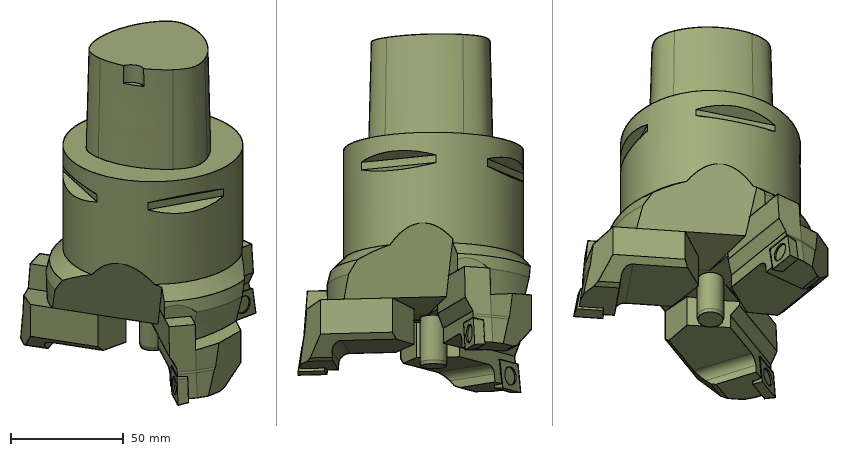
import cadquery as cq
import math

TOOTH_TURNS = [0, -116.2, -237]
OVERALL_HEIGHT = 148.0
REACH = 88.8

SHANK_HEIGHT = 48.0
SHANK_BASE_RADIUS = 27.7
SHANK_TAPER = 1 / 40
SHANK_LOBE = 2.2
SHANK_FLAT_ANGLES = [-90, 30, 150]
SHANK_FLAT_HALF_ANGLE = 26
SHANK_CURVE_STEPS = 8
KEY_RADIUS = 12.0 / 2
KEY_CENTRE_Y = -27.7
KEY_DEPTH = 8.6

BODY_RADIUS = 80.0 / 2
CYLINDER_BOTTOM = -50.0
COLLAR_TOP = -56.0
COLLAR_TOP_RADIUS = 46.0
COLLAR_MIDDLE = -62.0
COLLAR_MIDDLE_RADIUS = 47.5
COLLAR_BOTTOM_RADIUS = 46.9
BODY_BOTTOM = -75.9
SEAT_FACET_X = -46.5

GROOVE_FLAT = 35.5
GROOVE_Z = -12.0
GROOVE_FLOOR_WIDTH = 3.4
GROOVE_MOUTH_WIDTH = 8.7
GROOVE_ANGLES = [45, 135, 225, 315]

NOZZLE_RADIUS = 12.0 / 2
NOZZLE_BOTTOM = -97.8
NOZZLE_CHAMFER_HEIGHT = 1.6
NOZZLE_CHAMFER_WIDTH = 0.5

FACE_Y = 4.7
BLOCK_BACK_Y = -7.3
REAR_Y = -29.9
REAR_TOP = -72.7
FLUTE_TILT = 17.8
BLOCK_TOP = -63.8
CARTRIDGE_BOTTOM = -98.1
LOWER_FACE_Y = 1.3
FACE_STEP_TOP = -78.0
FACE_STEP_BOTTOM = -84.0
REAR_CHAMFER_TOP = -88.2
REAR_CHAMFER_Y = -21.2
REAR_CHAMFER_END_Y = -18.6
REAR_CHAMFER_BOTTOM = -97.1
OUTER_CORNER_X = -46.9
OUTER_BEVEL_ANGLE = 57
INNER_CORNER_X = -14.7
INNER_TIP = (-7.0, -15.1)
INNER_FACE_X = -19.2
SIDE_TOP_X = -55.6
SIDE_LEDGE_X = -57.3
SIDE_LEDGE_TOP = -85.4
LIP_LEDGE_X = -57.5
LIP_LEDGE_BOTTOM = -86.5
LIP_BOTTOM_X = -59.0
SIDE_RELIEF = 10
GULLY_TOP = -90.9
GULLY_RADIUS = 4.9
GULLY_TANGENT_X = -37.7
GULLY_BOTTOM_X = -42.8
GULLY_WALL_ANGLE = 15

INSERT_FACE_Y = 1.8
INSERT_THICKNESS = 5.0
INSERT_RELIEF = 7
INSERT_TOP = -87.3
INSERT_BOTTOM = SHANK_HEIGHT - OVERALL_HEIGHT
INSERT_TOP_X = (-59.0, -45.7)
INSERT_BOTTOM_X = (-61.0, -48.0)
INSERT_CORNER_RADIUS = 0.7
INSERT_RECESS_DIAMETER = 8.1
INSERT_RECESS_DEPTH = 0.7


def turned(shape, angle):
    return shape.rotate((0, 0, 0), (0, 0, 1), angle)


def prism_along_x(points):
    """Prism of a (y, z) outline reaching past the part on both sides."""
    return cq.Workplane("YZ").polyline(points).close().extrude(REACH, both=True)


def prism_along_y(points):
    """Prism of an (x, z) outline reaching past the part on both sides."""
    return cq.Workplane("XZ").polyline(points).close().extrude(REACH, both=True)


def lobed_point(mean_radius, angle):
    """Point of the constant-width outline where its normal has the given angle; one lobe is at +Y."""
    phase = 3 * (angle - math.pi / 2)
    support = mean_radius + SHANK_LOBE * math.cos(phase)
    slope = -3 * SHANK_LOBE * math.sin(phase)
    x = support * math.cos(angle) - slope * math.sin(angle)
    y = support * math.sin(angle) + slope * math.cos(angle)
    return cq.Vector(x, y)


def lobed_wire(mean_radius, z):
    """Closed outline of three flat stretches alternating with three lobes."""
    edges = []
    for flat_middle in SHANK_FLAT_ANGLES:
        joints = [
            flat_middle - SHANK_FLAT_HALF_ANGLE,
            flat_middle + SHANK_FLAT_HALF_ANGLE,
            flat_middle + 120 - SHANK_FLAT_HALF_ANGLE,
        ]
        for start, end in zip(joints, joints[1:]):
            step = (end - start) / SHANK_CURVE_STEPS
            angles = [math.radians(start + step * i) for i in range(SHANK_CURVE_STEPS + 1)]
            points = [lobed_point(mean_radius, angle) + cq.Vector(0, 0, z) for angle in angles]
            end_angles = (angles[0], angles[-1])
            tangents = [cq.Vector(-math.sin(angle), math.cos(angle)) for angle in end_angles]
            edges.append(cq.Edge.makeSpline(points, tangents=tangents))
    return cq.Wire.assembleEdges(edges)


def make_shank():
    top_radius = SHANK_BASE_RADIUS - SHANK_HEIGHT * SHANK_TAPER
    outlines = [lobed_wire(SHANK_BASE_RADIUS, 0), lobed_wire(top_radius, SHANK_HEIGHT)]
    shank = cq.Workplane(cq.Solid.makeLoft(outlines, True))
    key = (
        cq.Workplane("XY", origin=(0, KEY_CENTRE_Y, SHANK_HEIGHT))
        .circle(KEY_RADIUS)
        .extrude(-KEY_DEPTH)
    )
    return shank.cut(key)


def make_turned_stock():
    return (
        cq.Workplane("XZ")
        .moveTo(0, 0)
        .lineTo(BODY_RADIUS, 0)
        .lineTo(BODY_RADIUS, CYLINDER_BOTTOM)
        .lineTo(COLLAR_TOP_RADIUS, COLLAR_TOP)
        .lineTo(COLLAR_MIDDLE_RADIUS, COLLAR_MIDDLE)
        .lineTo(COLLAR_BOTTOM_RADIUS, BODY_BOTTOM)
        .lineTo(0, BODY_BOTTOM)
        .close()
        .revolve(360, (0, 0, 0), (0, 1, 0))
    )


def make_groove():
    """Gripper groove on the +X side, widening outward."""
    depth = BODY_RADIUS - GROOVE_FLAT
    floor = GROOVE_FLOOR_WIDTH / 2
    mouth = GROOVE_MOUTH_WIDTH - floor
    mouth_x = GROOVE_FLAT + 2 * depth
    return prism_along_y([
        (GROOVE_FLAT, GROOVE_Z - floor),
        (mouth_x, GROOVE_Z - mouth),
        (mouth_x, GROOVE_Z + mouth),
        (GROOVE_FLAT, GROOVE_Z + floor),
    ])


def make_flute(turn, next_turn):
    """Space behind one tooth, ending at the cutting face of the following one."""
    slope_y = REAR_Y + REAR_TOP * math.tan(math.radians(FLUTE_TILT))
    behind = prism_along_x([
        (slope_y, 0),
        (REAR_Y, REAR_TOP),
        (BLOCK_BACK_Y, BODY_BOTTOM),
        (BLOCK_BACK_Y, -2 * REACH),
        (-REACH, -2 * REACH),
        (-REACH, 0),
    ])
    ahead = cq.Workplane("XY").box(
        4 * REACH, 2 * REACH, 4 * REACH, centered=(True, False, True)
    ).translate((0, FACE_Y, 0))
    return turned(behind, turn).intersect(turned(ahead, next_turn))


def make_nozzle():
    return (
        cq.Workplane("XZ")
        .moveTo(0, BODY_BOTTOM)
        .lineTo(NOZZLE_RADIUS, BODY_BOTTOM)
        .lineTo(NOZZLE_RADIUS, NOZZLE_BOTTOM + NOZZLE_CHAMFER_HEIGHT)
        .lineTo(NOZZLE_RADIUS - NOZZLE_CHAMFER_WIDTH, NOZZLE_BOTTOM)
        .lineTo(0, NOZZLE_BOTTOM)
        .close()
        .revolve(360, (0, 0, 0), (0, 1, 0))
    )


def make_gully():
    """Clearance under the cartridge, rounded where it meets the cutting lip."""
    wall = math.radians(GULLY_WALL_ANGLE)
    centre_x = GULLY_TANGENT_X
    centre_z = GULLY_TOP - GULLY_RADIUS
    middle = math.radians(90 + (90 - GULLY_WALL_ANGLE) / 2)
    arc_middle = (
        centre_x + GULLY_RADIUS * math.cos(middle),
        centre_z + GULLY_RADIUS * math.sin(middle),
    )
    arc_end = (
        centre_x - GULLY_RADIUS * math.cos(wall),
        centre_z + GULLY_RADIUS * math.sin(wall),
    )
    return (
        cq.Workplane("XZ")
        .moveTo(0, GULLY_TOP)
        .lineTo(GULLY_TANGENT_X, GULLY_TOP)
        .threePointArc(arc_middle, arc_end)
        .lineTo(GULLY_BOTTOM_X, CARTRIDGE_BOTTOM)
        .lineTo(0, CARTRIDGE_BOTTOM)
        .close()
        .extrude(REACH, both=True)
    )


def make_cartridge_stock():
    """Cartridge pointing along -X, before the insert pocket is cut."""
    bevel_run = (FACE_Y - REAR_Y) / math.tan(math.radians(OUTER_BEVEL_ANGLE))
    plan = (
        cq.Workplane("XY", origin=(0, 0, CARTRIDGE_BOTTOM))
        .polyline([
            (INNER_FACE_X, FACE_Y),
            (OUTER_CORNER_X - bevel_run, FACE_Y),
            (OUTER_CORNER_X, REAR_Y),
            (INNER_CORNER_X, REAR_Y),
            INNER_TIP,
        ])
        .close()
        .extrude(BLOCK_TOP - CARTRIDGE_BOTTOM)
    )
    side = prism_along_x([
        (FACE_Y, BLOCK_TOP),
        (FACE_Y, FACE_STEP_TOP),
        (LOWER_FACE_Y, FACE_STEP_BOTTOM),
        (LOWER_FACE_Y, CARTRIDGE_BOTTOM),
        (REAR_CHAMFER_END_Y, CARTRIDGE_BOTTOM),
        (REAR_CHAMFER_Y, REAR_CHAMFER_BOTTOM),
        (REAR_Y, REAR_CHAMFER_TOP),
        (REAR_Y, REAR_TOP),
        (BLOCK_BACK_Y, BODY_BOTTOM),
        (BLOCK_BACK_Y, BLOCK_TOP),
    ])
    outer = prism_along_y([
        (REACH, BLOCK_TOP),
        (SIDE_TOP_X, BLOCK_TOP),
        (SIDE_LEDGE_X, SIDE_LEDGE_TOP),
        (LIP_LEDGE_X, LIP_LEDGE_BOTTOM),
        (LIP_BOTTOM_X, CARTRIDGE_BOTTOM),
        (REACH, CARTRIDGE_BOTTOM),
    ])
    pivot = (SIDE_LEDGE_X, BLOCK_BACK_Y, 0)
    relieved = outer.rotate(pivot, (pivot[0], pivot[1], 1), SIDE_RELIEF)
    return plan.intersect(side).intersect(outer).intersect(relieved).cut(make_gully())


def make_insert_blank():
    """Rhombic insert narrowing away from its rake face."""
    return (
        cq.Workplane("XZ", origin=(0, INSERT_FACE_Y, 0))
        .polyline([
            (INSERT_TOP_X[0], INSERT_TOP),
            (INSERT_TOP_X[1], INSERT_TOP),
            (INSERT_BOTTOM_X[1], INSERT_BOTTOM),
            (INSERT_BOTTOM_X[0], INSERT_BOTTOM),
        ])
        .close()
        .extrude(INSERT_THICKNESS, taper=INSERT_RELIEF)
        .edges("not(#Y)").edges(">Z").edges("<X")
        .fillet(INSERT_CORNER_RADIUS)
    )


def make_insert():
    centre_x = (sum(INSERT_TOP_X) + sum(INSERT_BOTTOM_X)) / 4
    centre_z = (INSERT_TOP + INSERT_BOTTOM) / 2
    recess = (
        cq.Workplane("XZ", origin=(centre_x, INSERT_FACE_Y, centre_z))
        .circle(INSERT_RECESS_DIAMETER / 2)
        .extrude(INSERT_RECESS_DEPTH)
    )
    return make_insert_blank().cut(recess)


def make_cartridge():
    return make_cartridge_stock().cut(make_insert_blank())


def make_body():
    body = make_turned_stock()
    for angle in GROOVE_ANGLES:
        body = body.cut(turned(make_groove(), angle))
    outside_facet = cq.Workplane("XY").box(
        REACH, 2 * REACH, 2 * REACH, centered=(False, True, True)
    ).translate((SEAT_FACET_X - REACH, 0, 0))
    for index, turn in enumerate(TOOTH_TURNS):
        next_turn = TOOTH_TURNS[index - 1]
        body = body.cut(make_flute(turn, next_turn))
        body = body.cut(turned(outside_facet, turn))
        body = body.cut(turned(make_cartridge_stock(), turn))
    return body.union(make_shank()).union(make_nozzle())


body = make_body()
cartridges = [turned(make_cartridge(), turn) for turn in TOOTH_TURNS]
inserts = [turned(make_insert(), turn) for turn in TOOTH_TURNS]

result = cq.Compound.makeCompound([
    body.val(),
    *[cartridge.val() for cartridge in cartridges],
    *[insert.val() for insert in inserts],
])